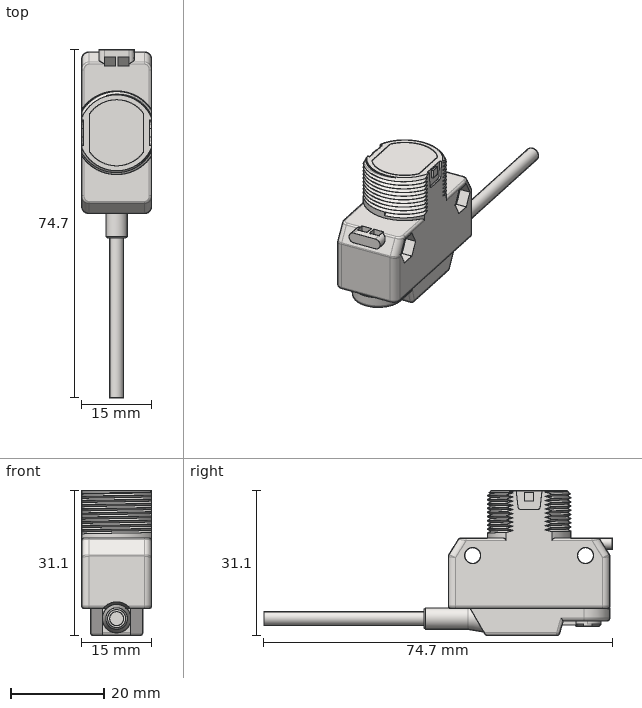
import cadquery as cq
import math

TOTAL_LENGTH = 74.7
TOTAL_HEIGHT = 31.1

CUT_MARGIN = 0.75

HOUSING_WIDTH = 15.0
HOUSING_HALF_LENGTH = 17.3
HOUSING_BOTTOM = 5.8
HOUSING_TOP = 20.9
SHOULDER_RUN = 2.3
SHOULDER_DROP = 3.7
CORNER_RADIUS = 1.6
EDGE_RADIUS = 0.5

BARREL_RADIUS = 9.0
BARREL_CHAMFER = 0.8
THREAD_PITCH = 0.9
THREAD_DEPTH = 0.71
THREAD_WIDTH = 0.86
THREAD_START = 22.0
THREAD_START_ANGLE = 90.0
THREAD_OVERCUT = 0.1

LENS_RADIUS = 7.1
LENS_WIDTH = 11.6
LENS_INSET = 0.1

WINDOW_TOP_WIDTH = 5.5
WINDOW_BOTTOM_WIDTH = 4.6
WINDOW_HEIGHT = 4.0
WINDOW_CORNER_RADIUS = 0.6
WINDOW_DEPTH = 0.45
WINDOW_BLOCK_SIZE = 1.9
WINDOW_BLOCK_DROP = 0.4

MOUNT_SPACING = 24.2
MOUNT_HEIGHT = 17.2
MOUNT_HOLE_DIAMETER = 3.35
NUT_WIDTH = 5.7
NUT_DEPTH = 2.4

INDICATOR_WIDTH = 7.6
INDICATOR_THICKNESS = 2.4
INDICATOR_OVERHANG = 0.5
INDICATOR_REAR = HOUSING_HALF_LENGTH + INDICATOR_OVERHANG
INDICATOR_FRONT = 14.3
NOTCH_LENGTH = 1.95
NOTCH_DEPTH = 1.8
NOTCH_DIVIDER = 0.6

OUTLET_WIDTH = 11.2
OUTLET_REAR = HOUSING_HALF_LENGTH
OUTLET_STEP_HEIGHT = 3.15
OUTLET_STEP_TOP_Y = 7.3
OUTLET_STEP_BOTTOM_Y = 6.4
OUTLET_FRONT_BOTTOM_Y = -9.3
OUTLET_FRONT_TOP_Y = -12.6
OUTLET_EDGE_RADIUS = 0.7
BOOT_CHANNEL_WIDTH = 6.0
BOOT_CHANNEL_END = -8.8

KNOB_RADIUS = 2.9
KNOB_Y = 12.55
KNOB_BOTTOM = 2.0
KNOB_CHAMFER = 0.45
KNOB_INDEX_WIDTH = 1.8
KNOB_RIB_WIDTH = 3.0
KNOB_RIB_BOTTOM = 2.25

CABLE_AXIS_HEIGHT = 3.65
CABLE_RADIUS = 1.5
CABLE_END = INDICATOR_REAR - TOTAL_LENGTH
BOOT_RADIUS = 2.3
BOOT_BASE_RADIUS = 3.1
BOOT_CONE_END = -13.1
BOOT_END = -22.55
BOOT_CHAMFER = 0.4

GROOVE_FRONT_RADIUS = 3.6


def box_between(x_size, y_low, y_high, z_low, z_high):
    """A box centred on X = 0 between the given Y and Z limits."""
    return (
        cq.Workplane("XY")
        .box(x_size, y_high - y_low, z_high - z_low, centered=(True, False, False))
        .translate((0, y_low, z_low))
    )


def extrude_side_profile(points, width):
    """Extrudes (Y, Z) points symmetrically about X = 0."""
    return cq.Workplane("YZ").polyline(points).close().extrude(width / 2, both=True)


def revolve_about_cable(points):
    """Revolves (Y, radius) points about the cable axis."""
    return (
        cq.Workplane("YZ", origin=(0, 0, CABLE_AXIS_HEIGHT))
        .polyline(points)
        .close()
        .revolve(360, (0, 0, 0), (1, 0, 0))
    )


def make_case():
    """Rounded housing block with sloping shoulders at both ends."""
    shoulder_height = HOUSING_TOP - SHOULDER_DROP
    top_half_length = HOUSING_HALF_LENGTH - SHOULDER_RUN
    profile = [
        (-HOUSING_HALF_LENGTH, HOUSING_BOTTOM),
        (HOUSING_HALF_LENGTH, HOUSING_BOTTOM),
        (HOUSING_HALF_LENGTH, shoulder_height),
        (top_half_length, HOUSING_TOP),
        (-top_half_length, HOUSING_TOP),
        (-HOUSING_HALF_LENGTH, shoulder_height),
    ]
    shoulder_edges = cq.selectors.BoxSelector(
        (-HOUSING_WIDTH, -2 * HOUSING_HALF_LENGTH, shoulder_height - CUT_MARGIN),
        (HOUSING_WIDTH, 2 * HOUSING_HALF_LENGTH, shoulder_height + CUT_MARGIN),
    )
    case = extrude_side_profile(profile, HOUSING_WIDTH)
    case = case.edges("|X").edges(shoulder_edges).fillet(EDGE_RADIUS)
    end_edges = case.faces("<X or >X").edges("not(|Y)")
    case = end_edges.fillet(CORNER_RADIUS)
    return case.faces("<Z or >Z").edges().fillet(EDGE_RADIUS)


def make_thread_groove():
    """Triangular right-hand helical groove that runs out through the top of the barrel."""
    helix_height = TOTAL_HEIGHT - THREAD_START + THREAD_PITCH
    root_radius = BARREL_RADIUS - THREAD_DEPTH
    half_width = THREAD_WIDTH / 2 * (1 + THREAD_OVERCUT / THREAD_DEPTH)
    path = cq.Wire.makeHelix(THREAD_PITCH, helix_height, root_radius)
    groove = (
        cq.Workplane("XZ")
        .polyline(
            [
                (root_radius, 0),
                (BARREL_RADIUS + THREAD_OVERCUT, half_width),
                (BARREL_RADIUS + THREAD_OVERCUT, -half_width),
            ]
        )
        .close()
        .sweep(cq.Workplane(path), isFrenet=True)
    )
    return groove.rotate((0, 0, 0), (0, 0, 1), THREAD_START_ANGLE).translate((0, 0, THREAD_START))


def make_barrel_chamfer():
    """Ring with a conical inside that chamfers the top of the barrel at 45 degrees."""
    ring_radius = BARREL_RADIUS + CUT_MARGIN
    return (
        cq.Workplane("XZ")
        .polyline(
            [
                (BARREL_RADIUS - BARREL_CHAMFER - CUT_MARGIN, TOTAL_HEIGHT + CUT_MARGIN),
                (ring_radius, TOTAL_HEIGHT + CUT_MARGIN),
                (ring_radius, TOTAL_HEIGHT - BARREL_CHAMFER - CUT_MARGIN),
            ]
        )
        .close()
        .revolve(360, (0, 0, 0), (0, 1, 0))
    )


def make_barrel():
    """Threaded barrel with two flats flush with the housing sides."""
    root = HOUSING_BOTTOM + EDGE_RADIUS
    barrel = (
        cq.Workplane("XY", origin=(0, 0, root))
        .circle(BARREL_RADIUS)
        .extrude(TOTAL_HEIGHT - root)
        .cut(make_thread_groove())
    )
    flats = cq.Workplane("XY").box(HOUSING_WIDTH, 3 * BARREL_RADIUS, 3 * TOTAL_HEIGHT)
    return barrel.intersect(flats).cut(make_barrel_chamfer())


def make_lens_recess():
    """Shallow recess with two flat sides that outlines the lens."""
    disc = (
        cq.Workplane("XY", origin=(0, 0, TOTAL_HEIGHT - LENS_INSET))
        .circle(LENS_RADIUS)
        .extrude(CUT_MARGIN)
    )
    return disc.intersect(cq.Workplane("XY").box(LENS_WIDTH, 2 * LENS_RADIUS, 3 * TOTAL_HEIGHT))


def make_window_recess():
    """Tapered recess in the -X flat, open at the top, around a raised block."""
    bottom = TOTAL_HEIGHT - WINDOW_HEIGHT
    plane = cq.Workplane("YZ", origin=(-HOUSING_WIDTH / 2, 0, 0))
    recess = (
        plane.polyline(
            [
                (-WINDOW_TOP_WIDTH / 2, TOTAL_HEIGHT),
                (WINDOW_TOP_WIDTH / 2, TOTAL_HEIGHT),
                (WINDOW_BOTTOM_WIDTH / 2, bottom),
                (-WINDOW_BOTTOM_WIDTH / 2, bottom),
            ]
        )
        .close()
        .extrude(WINDOW_DEPTH)
        .edges("|X and <Z")
        .fillet(WINDOW_CORNER_RADIUS)
    )
    block_height = TOTAL_HEIGHT - WINDOW_BLOCK_DROP - WINDOW_BLOCK_SIZE / 2
    block = plane.center(0, block_height).rect(WINDOW_BLOCK_SIZE, WINDOW_BLOCK_SIZE).extrude(WINDOW_DEPTH)
    return recess.cut(block)


def make_mount_cutter(y):
    """Through hole along X with a nut pocket in the -X side."""
    plane = cq.Workplane("YZ", origin=(-HOUSING_WIDTH / 2, y, MOUNT_HEIGHT))
    hole = plane.circle(MOUNT_HOLE_DIAMETER / 2).extrude(HOUSING_WIDTH)
    pocket = plane.polygon(6, NUT_WIDTH / math.cos(math.pi / 6)).extrude(NUT_DEPTH)
    return hole.union(pocket)


def make_indicator():
    """Round-sided bar over the rear shoulder."""
    return (
        cq.Workplane("XZ", origin=(0, INDICATOR_REAR, HOUSING_TOP - INDICATOR_THICKNESS / 2))
        .slot2D(INDICATOR_WIDTH, INDICATOR_THICKNESS)
        .extrude(INDICATOR_REAR - INDICATOR_FRONT)
    )


def make_indicator_notch(side):
    """Wedge-shaped notch in the indicator; side is -1 or 1."""
    notch_width = (INDICATOR_WIDTH - INDICATOR_THICKNESS - NOTCH_DIVIDER) / 2
    wedge = extrude_side_profile(
        [
            (INDICATOR_FRONT, HOUSING_TOP),
            (INDICATOR_FRONT + NOTCH_LENGTH, HOUSING_TOP),
            (INDICATOR_FRONT, HOUSING_TOP - NOTCH_DEPTH),
        ],
        notch_width,
    )
    return wedge.translate((side * (NOTCH_DIVIDER + notch_width) / 2, 0, 0))


def make_boot_groove():
    """Tapered clearance for the boot in the underside of the housing."""
    front = -HOUSING_HALF_LENGTH
    return revolve_about_cable(
        [
            (front, 0),
            (front, GROOVE_FRONT_RADIUS),
            (BOOT_CHANNEL_END, BOOT_BASE_RADIUS),
            (BOOT_CHANNEL_END, 0),
        ]
    )


def make_housing():
    housing = make_case().union(make_barrel()).union(make_indicator())
    housing = housing.cut(make_lens_recess()).cut(make_boot_groove())
    window = make_window_recess()
    housing = housing.cut(window).cut(window.mirror("YZ"))
    for side in (-1, 1):
        housing = housing.cut(make_mount_cutter(side * MOUNT_SPACING / 2))
        housing = housing.cut(make_indicator_notch(side))
    return housing


def make_outlet_block():
    """Swivel block with a round rear end, a step below it and a channel for the boot."""
    profile = [
        (OUTLET_FRONT_TOP_Y, HOUSING_BOTTOM),
        (OUTLET_REAR, HOUSING_BOTTOM),
        (OUTLET_REAR, OUTLET_STEP_HEIGHT),
        (OUTLET_STEP_TOP_Y, OUTLET_STEP_HEIGHT),
        (OUTLET_STEP_BOTTOM_Y, 0),
        (OUTLET_FRONT_BOTTOM_Y, 0),
    ]
    end_radius = OUTLET_WIDTH / 2
    plan = (
        cq.Workplane("XY")
        .moveTo(-end_radius, OUTLET_FRONT_TOP_Y)
        .lineTo(end_radius, OUTLET_FRONT_TOP_Y)
        .lineTo(end_radius, OUTLET_REAR - end_radius)
        .threePointArc((0, OUTLET_REAR), (-end_radius, OUTLET_REAR - end_radius))
        .close()
        .extrude(HOUSING_BOTTOM)
    )
    block = extrude_side_profile(profile, OUTLET_WIDTH + CUT_MARGIN).intersect(plan)
    step_sides = cq.selectors.BoxSelector(
        (-OUTLET_WIDTH, OUTLET_STEP_BOTTOM_Y, 0),
        (OUTLET_WIDTH, OUTLET_STEP_TOP_Y, OUTLET_STEP_HEIGHT),
    )
    rear_underside = cq.selectors.BoxSelector(
        (-OUTLET_WIDTH, OUTLET_STEP_TOP_Y + CUT_MARGIN, 0),
        (OUTLET_WIDTH, OUTLET_REAR, HOUSING_BOTTOM - CUT_MARGIN),
    )
    rounded_edges = (
        block.edges(rear_underside)
        .edges("not(|Z)")
        .add(block.edges(step_sides).edges("not(|X)"))
        .add(block.faces("<Z").edges())
    )
    block = rounded_edges.fillet(OUTLET_EDGE_RADIUS)
    channel = box_between(
        BOOT_CHANNEL_WIDTH, OUTLET_FRONT_TOP_Y, BOOT_CHANNEL_END, -CUT_MARGIN, HOUSING_BOTTOM
    )
    block = block.cut(channel)
    channel_edge = cq.selectors.NearestToPointSelector((0, BOOT_CHANNEL_END, 0))
    return block.edges(channel_edge).fillet(OUTLET_EDGE_RADIUS)


def make_knob():
    """Chamfered pivot knob with an unchamfered index bar and a rib to the outlet step."""
    height = OUTLET_STEP_HEIGHT - KNOB_BOTTOM
    disc = cq.Workplane("XY", origin=(0, KNOB_Y, KNOB_BOTTOM)).circle(KNOB_RADIUS).extrude(height)
    index = disc.intersect(
        box_between(
            2 * KNOB_RADIUS,
            KNOB_Y - KNOB_INDEX_WIDTH / 2,
            KNOB_Y + KNOB_INDEX_WIDTH / 2,
            KNOB_BOTTOM,
            OUTLET_STEP_HEIGHT,
        )
    )
    rib = box_between(KNOB_RIB_WIDTH, OUTLET_STEP_BOTTOM_Y, KNOB_Y, KNOB_RIB_BOTTOM, OUTLET_STEP_HEIGHT)
    return disc.faces("<Z").chamfer(KNOB_CHAMFER).union(index).union(rib)


def make_cable():
    """Cable with its boot, which widens into the outlet block."""
    return revolve_about_cable(
        [
            (BOOT_CHANNEL_END, 0),
            (BOOT_CHANNEL_END, BOOT_BASE_RADIUS),
            (BOOT_CONE_END, BOOT_RADIUS),
            (BOOT_END + BOOT_CHAMFER, BOOT_RADIUS),
            (BOOT_END, BOOT_RADIUS - BOOT_CHAMFER),
            (BOOT_END, CABLE_RADIUS),
            (CABLE_END, CABLE_RADIUS),
            (CABLE_END, 0),
        ]
    )


def make_cable_outlet():
    return make_outlet_block().union(make_knob()).union(make_cable())


housing = make_housing()
cable_outlet = make_cable_outlet()

result = cq.Compound.makeCompound([housing.val(), cable_outlet.val()])